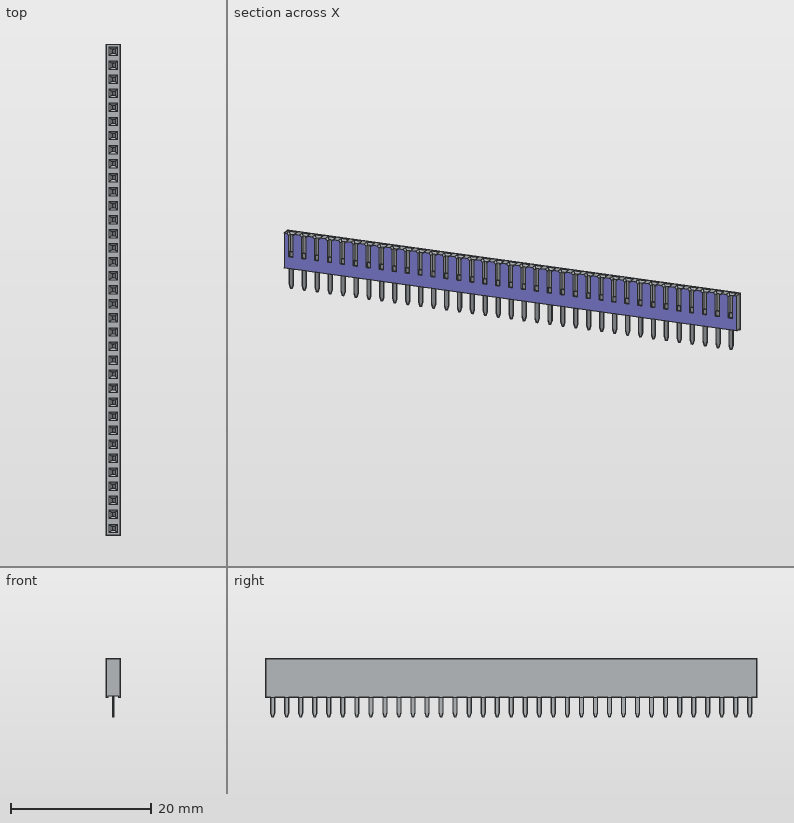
import cadquery as cq

contact_count = 35
strip_length = 70
pitch = strip_length / contact_count
strip_width = pitch
overall_height = 8.3
body_height = 5.5

socket_size = 0.6
funnel_depth = 0.3
funnel_mouth = socket_size + 2 * funnel_depth
socket_depth = 3.5

channel_wall = 0.25
channel_width = strip_width - 2 * channel_wall
channel_depth = 0.2

contact_width = 0.6
contact_thickness = 0.2
blade_width = 0.505
blade_height = 0.7
tip_width = contact_thickness
tip_length = 0.6

body_top = body_height / 2
body_bottom = -body_height / 2
socket_floor = body_top - socket_depth
blade_top = socket_floor + blade_height
tip_bottom = body_top - overall_height
shoulder = tip_bottom + tip_length


def make_body():
    block = cq.Workplane("XY").box(strip_width, strip_length, body_height)
    channel = (
        cq.Workplane("XY", origin=(0, 0, body_bottom))
        .rect(channel_width, strip_length)
        .extrude(channel_depth)
    )
    return block.cut(channel)


def make_socket():
    """Cutting shape for one socket, opening at the top of the body."""
    funnel = (
        cq.Workplane("XY", origin=(0, 0, body_top))
        .rect(funnel_mouth, funnel_mouth)
        .workplane(offset=-funnel_depth)
        .rect(socket_size, socket_size)
        .loft(combine=True)
    )
    hole = (
        cq.Workplane("XY", origin=(0, 0, socket_floor))
        .rect(socket_size, socket_size)
        .extrude(socket_depth - funnel_depth)
    )
    return funnel.union(hole)


def make_contact():
    """One flat contact running from inside its socket down to the tip of its tail."""
    right_side = [
        (tip_width / 2, tip_bottom),
        (contact_width / 2, shoulder),
        (contact_width / 2, socket_floor),
        (blade_width / 2, socket_floor),
        (blade_width / 2, blade_top),
    ]
    left_side = [(-y, z) for y, z in reversed(right_side)]
    return (
        cq.Workplane("YZ")
        .polyline(right_side + left_side)
        .close()
        .extrude(contact_thickness / 2, both=True)
    )


def at_each_contact(shape):
    """The given shape repeated at every contact position along the strip."""
    first = -(contact_count - 1) / 2 * pitch
    places = [cq.Location(cq.Vector(0, first + i * pitch, 0)) for i in range(contact_count)]
    copies = [shape.val().moved(place) for place in places]
    return cq.Workplane("XY").newObject([cq.Compound.makeCompound(copies)])


body = make_body().cut(at_each_contact(make_socket()))
result = body.union(at_each_contact(make_contact()))